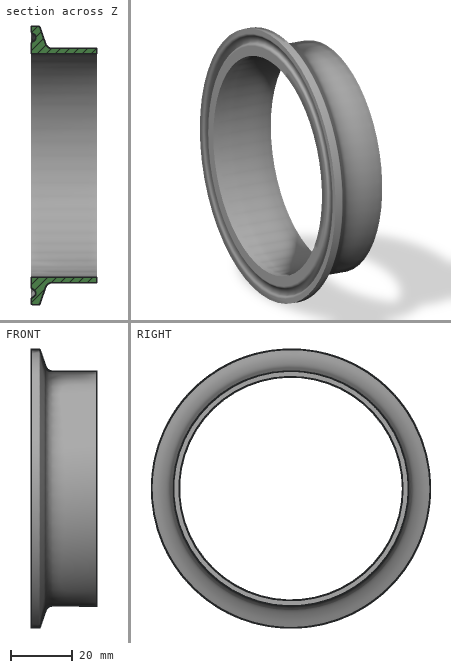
import cadquery as cq
import math

length = 21.5
flange_radius = 45.5
tube_radius = 76.7 / 2
bore_radius = 72.9 / 2

rim_width = 2.8
taper_angle = math.radians(19)
rim_edge_round = 0.55
neck_round = 2.0

groove_mid_radius = 41.8
groove_half_width = 2.05
groove_depth = 1.5
groove_lip_share = 0.4


def make_body():
    """Solid flange and tube with rounded transitions."""
    taper_end = rim_width + (flange_radius - tube_radius) * math.tan(taper_angle)
    body = (
        cq.Workplane("XY")
        .moveTo(0, 0)
        .lineTo(0, flange_radius)
        .lineTo(rim_width, flange_radius)
        .lineTo(taper_end, tube_radius)
        .lineTo(length, tube_radius)
        .lineTo(length, 0)
        .close()
        .revolve(360, (0, 0, 0), (1, 0, 0))
    )
    tolerance = 0.1
    rim_edge = cq.selectors.BoxSelector(
        (rim_width - tolerance, -flange_radius, -flange_radius),
        (rim_width + tolerance, flange_radius, flange_radius),
    )
    neck_edge = cq.selectors.BoxSelector(
        (taper_end - tolerance, -flange_radius, -flange_radius),
        (taper_end + tolerance, flange_radius, flange_radius),
    )
    return body.edges(neck_edge).fillet(neck_round).edges(rim_edge).fillet(rim_edge_round)


def make_groove():
    """Ring with an arc bottom running tangentially into convex lips."""
    wall_angle = 2 * math.atan(groove_depth / groove_half_width)
    arc_sum = groove_half_width / math.sin(wall_angle)
    lip_round = groove_lip_share * arc_sum
    bottom_round = arc_sum - lip_round

    def lip_point(angle, side):
        offset = groove_half_width - lip_round * math.sin(angle)
        return lip_round * (1 - math.cos(angle)), groove_mid_radius + side * offset

    return (
        cq.Workplane("XY")
        .moveTo(*lip_point(0, 1))
        .threePointArc(lip_point(wall_angle / 2, 1), lip_point(wall_angle, 1))
        .radiusArc(lip_point(wall_angle, -1), bottom_round)
        .threePointArc(lip_point(wall_angle / 2, -1), lip_point(0, -1))
        .close()
        .revolve(360, (0, 0, 0), (1, 0, 0))
    )


bore = cq.Workplane("YZ").circle(bore_radius).extrude(length)
result = make_body().cut(bore).cut(make_groove())